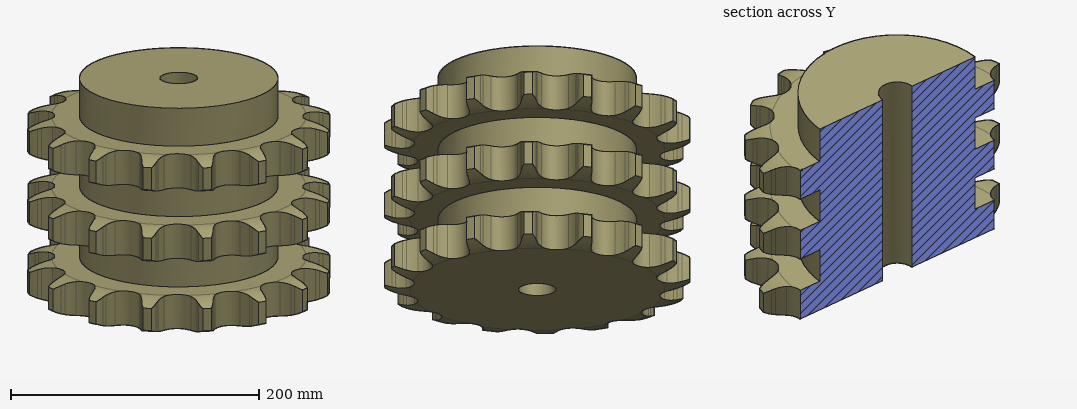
import cadquery as cq
import math


TOOTH_COUNT = 16
STRAND_COUNT = 3
CHAIN_PITCH = 44.5
ROLLER_DIAMETER = 28.0
STRAND_SPACING = 59.5
TOOTH_WIDTH = 29.0
TIP_DIAMETER = 246.2
RELIEF_START_DIAMETER = 205.0
RELIEF_RADIUS = CHAIN_PITCH

HUB_DIAMETER = 160.0
HUB_HEIGHT = 180.0
BORE_DIAMETER = 30.0

GAP_ANGLE = 360 / TOOTH_COUNT
PITCH_RADIUS = CHAIN_PITCH / 2 / math.sin(math.pi / TOOTH_COUNT)
SEAT_ANGLE = 35 + 60 / TOOTH_COUNT
WORKING_ANGLE = 18 - 56 / TOOTH_COUNT
TOPPING_ANGLE = 17 - 64 / TOOTH_COUNT
FLANK_ANGLE = SEAT_ANGLE - WORKING_ANGLE
SEAT_RADIUS = 0.5025 * ROLLER_DIAMETER
WORKING_OFFSET = 0.8 * ROLLER_DIAMETER
TOPPING_OFFSET = 1.4 * ROLLER_DIAMETER
WORKING_RADIUS = WORKING_OFFSET + SEAT_RADIUS
TOPPING_RADIUS = (
    WORKING_OFFSET * math.cos(math.radians(WORKING_ANGLE))
    + TOPPING_OFFSET * math.cos(math.radians(TOPPING_ANGLE))
    - WORKING_RADIUS
)
STRAIGHT_LENGTH = (
    TOPPING_OFFSET * math.sin(math.radians(TOPPING_ANGLE))
    - WORKING_OFFSET * math.sin(math.radians(WORKING_ANGLE))
)
TOPPING_END_ANGLE = 50
CUT_CLEARANCE = 12.1


def polar(center, radius, angle):
    """Point at a distance and an angle in degrees from a centre."""
    turn = math.radians(angle)
    return center[0] + radius * math.cos(turn), center[1] + radius * math.sin(turn)


def mirrored(point):
    """Point on the opposite flank of a gap that is centred on the Y axis."""
    return -point[0], point[1]


def tooth_gap(height):
    """Cutter for one tooth gap on the +Y side."""
    seat_center = (0, PITCH_RADIUS)
    working_center = polar(seat_center, WORKING_OFFSET, SEAT_ANGLE)
    seat_bottom = polar(seat_center, SEAT_RADIUS, 270)
    seat_end = polar(seat_center, SEAT_RADIUS, 180 + SEAT_ANGLE)
    working_mid = polar(working_center, WORKING_RADIUS, 180 + (SEAT_ANGLE + FLANK_ANGLE) / 2)
    working_end = polar(working_center, WORKING_RADIUS, 180 + FLANK_ANGLE)
    straight_end = polar(working_end, STRAIGHT_LENGTH, 90 + FLANK_ANGLE)
    topping_center = polar(straight_end, TOPPING_RADIUS, 180 + FLANK_ANGLE)
    topping_mid = polar(topping_center, TOPPING_RADIUS, (FLANK_ANGLE + TOPPING_END_ANGLE) / 2)
    topping_end = polar(topping_center, TOPPING_RADIUS, TOPPING_END_ANGLE)
    outside = (topping_end[0], TIP_DIAMETER / 2 + CUT_CLEARANCE)

    return (
        cq.Workplane("XY")
        .moveTo(*outside)
        .lineTo(*topping_end)
        .threePointArc(topping_mid, straight_end)
        .lineTo(*working_end)
        .threePointArc(working_mid, seat_end)
        .threePointArc(seat_bottom, mirrored(seat_end))
        .threePointArc(mirrored(working_mid), mirrored(working_end))
        .lineTo(*mirrored(straight_end))
        .threePointArc(mirrored(topping_mid), mirrored(topping_end))
        .lineTo(*mirrored(outside))
        .close()
        .extrude(height)
    )


def toothed_disc():
    """One strand of teeth: a disc with rounded rim sides, cut by the tooth gaps."""
    tip_radius = TIP_DIAMETER / 2
    relief_start = RELIEF_START_DIAMETER / 2

    def relief_depth(radius):
        reach = radius - relief_start
        return RELIEF_RADIUS - math.sqrt(RELIEF_RADIUS**2 - reach**2)

    mid_radius = (relief_start + tip_radius) / 2
    mid_depth = relief_depth(mid_radius)
    tip_depth = relief_depth(tip_radius)

    disc = (
        cq.Workplane("XZ")
        .lineTo(relief_start, 0)
        .threePointArc((mid_radius, mid_depth), (tip_radius, tip_depth))
        .lineTo(tip_radius, TOOTH_WIDTH - tip_depth)
        .threePointArc((mid_radius, TOOTH_WIDTH - mid_depth), (relief_start, TOOTH_WIDTH))
        .lineTo(0, TOOTH_WIDTH)
        .close()
        .revolve(360, (0, 0, 0), (0, 1, 0))
    )
    gap = tooth_gap(TOOTH_WIDTH)
    for index in range(TOOTH_COUNT):
        disc = disc.cut(gap.rotate((0, 0, 0), (0, 0, 1), index * GAP_ANGLE))
    return disc


sprocket = cq.Workplane("XY").circle(HUB_DIAMETER / 2).extrude(HUB_HEIGHT)
strand = toothed_disc()
for index in range(STRAND_COUNT):
    sprocket = sprocket.union(strand.translate((0, 0, index * STRAND_SPACING)))

bore = cq.Workplane("XY").circle(BORE_DIAMETER / 2).extrude(HUB_HEIGHT)
result = sprocket.cut(bore)